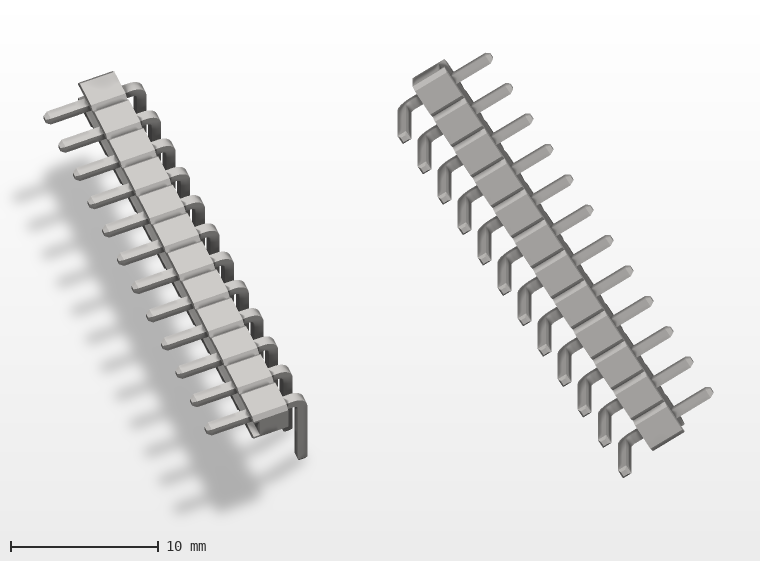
import cadquery as cq

pin_count = 12
body_length = 30.48
total_depth = 7.3
total_height = 8.25

pitch = body_length / pin_count
body_height = pitch
body_depth = pitch
notch_width = 0.3
notch_depth = 0.3
slot_height = 1.55
slot_depth = 0.45

pin_width = 0.67
pin_reach = 3.0
bend_radius = 1.05
tip_length = 0.3
tip_inset = 0.15

half_pin = pin_width / 2
mating_tip_y = -body_depth / 2 - pin_reach
leg_back_y = mating_tip_y + total_depth
leg_tip_z = body_height / 2 - total_height


def section_x(index):
    """Left boundary of a housing section."""
    return index * pitch - body_length / 2


def make_housing():
    """Row of sections with beveled corners, joined in one bar and recessed in front."""
    top = body_height / 2
    shoulder = top - notch_depth
    housing = cq.Workplane("XY").box(body_length, body_depth, 2 * shoulder)
    for index in range(pin_count):
        left = section_x(index)
        right = left + pitch
        section = (
            cq.Workplane("XZ")
            .polyline([
                (left, -shoulder),
                (left + notch_width, -top),
                (right - notch_width, -top),
                (right, -shoulder),
                (right, shoulder),
                (right - notch_width, top),
                (left + notch_width, top),
                (left, shoulder),
            ])
            .close()
            .extrude(body_depth / 2, both=True)
        )
        housing = housing.union(section)

    slot_y = (slot_depth - body_depth) / 2
    slot = cq.Workplane("XY").box(body_length, slot_depth, slot_height).translate((0, slot_y, 0))
    return housing.cut(slot)


def make_tip(plane):
    """Tapered pin end, narrowing along the normal of the given plane."""
    end_width = pin_width - 2 * tip_inset
    return (
        cq.Workplane(plane)
        .rect(pin_width, pin_width)
        .workplane(offset=tip_length)
        .rect(end_width, end_width)
        .loft(ruled=True)
    )


def make_pin():
    """Right-angle square pin: straight mating end, rounded bend, leg pointing down."""
    mating_start_y = mating_tip_y + tip_length
    leg_end_z = leg_tip_z + tip_length
    wire = (
        cq.Workplane("YZ")
        .moveTo(mating_start_y, half_pin)
        .lineTo(leg_back_y - bend_radius, half_pin)
        .tangentArcPoint((bend_radius, -bend_radius))
        .lineTo(leg_back_y, leg_end_z)
        .lineTo(leg_back_y - pin_width, leg_end_z)
        .lineTo(leg_back_y - pin_width, half_pin - bend_radius)
        .tangentArcPoint((pin_width - bend_radius, bend_radius - pin_width))
        .lineTo(mating_start_y, -half_pin)
        .close()
        .extrude(half_pin, both=True)
    )
    mating_tip = make_tip(cq.Plane((0, mating_start_y, 0), (1, 0, 0), (0, -1, 0)))
    leg_tip = make_tip(cq.Plane((0, leg_back_y - half_pin, leg_end_z), (1, 0, 0), (0, 0, -1)))
    return wire.union(mating_tip).union(leg_tip)


result = make_housing()
pin = make_pin()
for index in range(pin_count):
    result = result.union(pin.translate((section_x(index) + pitch / 2, 0, 0)))